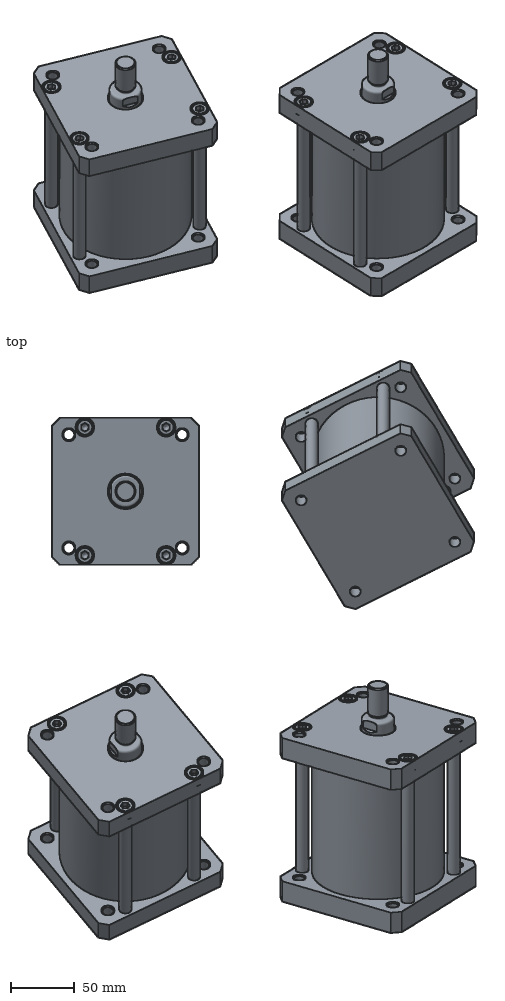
import cadquery as cq
import math

ASSEMBLY_HEIGHT = 180.0
PLATE_SIDE = 116.0
PLATE_THICKNESS = 17.8
CORNER_CHAMFER = 6.3
ROD_PROTRUSION = 37.6
BARREL_DIAMETER = 104.4
UPPER_PLATE_TOP = ASSEMBLY_HEIGHT - ROD_PROTRUSION
UPPER_PLATE_BOTTOM = UPPER_PLATE_TOP - PLATE_THICKNESS

MOUNT_CIRCLE_DIAMETER = 126.2
MOUNT_HOLE_DIAMETER = 8.5
MOUNT_MOUTH_DIAMETER = 10.5
MOUNT_OFFSET = MOUNT_CIRCLE_DIAMETER / 2 * math.cos(math.radians(45))

TIE_ROD_X = 32.0
TIE_ROD_Y = 50.4
TIE_ROD_DIAMETER = 10.0
HEAD_DIAMETER = 13.0
HEAD_HEIGHT = 9.0
HEAD_CHAMFER = 0.7
HEAD_SEAT = UPPER_PLATE_TOP - HEAD_HEIGHT
COUNTERBORE_DIAMETER = 13.5
COUNTERBORE_MOUTH_DIAMETER = 14.8
SOCKET_WIDTH = 6.0
SOCKET_CORNER_DIAMETER = SOCKET_WIDTH / math.cos(math.radians(30))
SOCKET_DEPTH = 4.5
SOCKET_TIP_DEPTH = 1.8

ROD_BORE_DIAMETER = 26.8
ROD_BORE_MOUTH_DIAMETER = 28.0
HUB_DIAMETER = 25.5
HUB_TOP = 152.3
HUB_FILLET = 2.0
HUB_FLAT_WIDTH = 22.3
HUB_FLAT_BOTTOM = 145.0
NECK_DIAMETER = 13.5
NECK_FILLET = 0.7
NECK_TOP = 154.0
THREAD_DIAMETER = 16.0
THREAD_BOTTOM = 155.9
THREAD_TIP_DIAMETER = 14.0
THREAD_TIP_HEIGHT = 1.0

ARC_INSET = 1 - math.cos(math.radians(45))


def four_corners(x, y):
    return [(x_side * x, y_side * y) for x_side in (-1, 1) for y_side in (-1, 1)]


def cylinder(diameter, bottom, top):
    return cq.Workplane("XY").workplane(offset=bottom).circle(diameter / 2).extrude(top - bottom)


def chamfered_hole(diameter, mouth_diameter, bottom, top):
    """Tool for a hole with a 45 degree chamfer at its upper mouth."""
    chamfer = (mouth_diameter - diameter) / 2
    mouth = (
        cq.Workplane("XY")
        .workplane(offset=top)
        .circle(mouth_diameter / 2)
        .extrude(-chamfer, taper=45)
    )
    return cylinder(diameter, bottom, top).union(mouth)


def cut_at(body, tool, points):
    for x, y in points:
        body = body.cut(tool.translate((x, y, 0)))
    return body


def make_plate(bottom):
    """Square plate with chamfered corners and four mounting holes."""
    blank = (
        cq.Workplane("XY")
        .workplane(offset=bottom)
        .rect(PLATE_SIDE, PLATE_SIDE)
        .extrude(PLATE_THICKNESS)
        .edges("|Z")
        .chamfer(CORNER_CHAMFER)
    )
    mount_hole = chamfered_hole(
        MOUNT_HOLE_DIAMETER, MOUNT_MOUTH_DIAMETER, bottom, bottom + PLATE_THICKNESS
    )
    return cut_at(blank, mount_hole, four_corners(MOUNT_OFFSET, MOUNT_OFFSET))


def make_upper_plate():
    """Plate with a bore for the piston rod and counterbored holes for the tie rods."""
    rod_bore = chamfered_hole(
        ROD_BORE_DIAMETER, ROD_BORE_MOUTH_DIAMETER, UPPER_PLATE_BOTTOM, UPPER_PLATE_TOP
    )
    counterbore = chamfered_hole(
        COUNTERBORE_DIAMETER, COUNTERBORE_MOUTH_DIAMETER, HEAD_SEAT, UPPER_PLATE_TOP
    )
    tie_rod_hole = cylinder(TIE_ROD_DIAMETER, UPPER_PLATE_BOTTOM, HEAD_SEAT).union(counterbore)
    plate = make_plate(UPPER_PLATE_BOTTOM).cut(rod_bore)
    return cut_at(plate, tie_rod_hole, four_corners(TIE_ROD_X, TIE_ROD_Y))


def make_barrel():
    return cylinder(BARREL_DIAMETER, PLATE_THICKNESS, UPPER_PLATE_BOTTOM)


def make_hex_socket():
    """Tool for a hexagonal socket with two corners along Y and a conical bottom."""
    hexagon = (
        cq.Workplane("XY")
        .workplane(offset=UPPER_PLATE_TOP)
        .transformed(rotate=(0, 0, 90))
        .polygon(6, SOCKET_CORNER_DIAMETER)
        .extrude(-SOCKET_DEPTH)
    )
    tip_base = cq.Vector(0, 0, UPPER_PLATE_TOP - SOCKET_DEPTH)
    tip = cq.Solid.makeCone(SOCKET_WIDTH / 2, 0, SOCKET_TIP_DEPTH, tip_base, cq.Vector(0, 0, -1))
    return hexagon.union(cq.Workplane(tip))


def make_tie_rod(x, y):
    """Rod standing on the lower plate, with a socket head in the upper plate."""
    shank = cylinder(TIE_ROD_DIAMETER, PLATE_THICKNESS, HEAD_SEAT)
    head = cylinder(HEAD_DIAMETER, HEAD_SEAT, UPPER_PLATE_TOP).faces(">Z").chamfer(HEAD_CHAMFER)
    return shank.union(head).cut(make_hex_socket()).translate((x, y, 0))


def make_turned_rod():
    """Piston rod before its wrench flats are cut, revolved about Z."""
    hub_radius = HUB_DIAMETER / 2
    neck_radius = NECK_DIAMETER / 2
    thread_radius = THREAD_DIAMETER / 2
    hub_inset = HUB_FILLET * ARC_INSET
    neck_inset = NECK_FILLET * ARC_INSET
    return (
        cq.Workplane("XZ")
        .moveTo(0, UPPER_PLATE_BOTTOM)
        .lineTo(hub_radius, UPPER_PLATE_BOTTOM)
        .lineTo(hub_radius, HUB_TOP - HUB_FILLET)
        .threePointArc(
            (hub_radius - hub_inset, HUB_TOP - hub_inset), (hub_radius - HUB_FILLET, HUB_TOP)
        )
        .lineTo(neck_radius + NECK_FILLET, HUB_TOP)
        .threePointArc(
            (neck_radius + neck_inset, HUB_TOP + neck_inset), (neck_radius, HUB_TOP + NECK_FILLET)
        )
        .lineTo(neck_radius, NECK_TOP)
        .lineTo(thread_radius, THREAD_BOTTOM)
        .lineTo(thread_radius, ASSEMBLY_HEIGHT - THREAD_TIP_HEIGHT)
        .lineTo(THREAD_TIP_DIAMETER / 2, ASSEMBLY_HEIGHT)
        .lineTo(0, ASSEMBLY_HEIGHT)
        .close()
        .revolve(360, (0, 0, 0), (0, 1, 0))
    )


def make_flat_cutter(side):
    """Tool for one wrench flat, which runs out at 45 degrees at its lower end."""
    flat_x = HUB_FLAT_WIDTH / 2
    hub_radius = HUB_DIAMETER / 2
    runout = hub_radius - flat_x
    return (
        cq.Workplane("XZ")
        .moveTo(side * flat_x, HUB_TOP)
        .lineTo(side * flat_x, HUB_FLAT_BOTTOM)
        .lineTo(side * hub_radius, HUB_FLAT_BOTTOM - runout)
        .lineTo(side * hub_radius, HUB_TOP)
        .close()
        .extrude(hub_radius, both=True)
    )


def make_piston_rod():
    rod = make_turned_rod()
    for side in (-1, 1):
        rod = rod.cut(make_flat_cutter(side))
    return rod


lower_plate = make_plate(0)
barrel = make_barrel()
upper_plate = make_upper_plate()
piston_rod = make_piston_rod()
tie_rods = [make_tie_rod(x, y).val() for x, y in four_corners(TIE_ROD_X, TIE_ROD_Y)]

result = cq.Compound.makeCompound(
    [lower_plate.val(), barrel.val(), upper_plate.val(), piston_rod.val(), *tie_rods]
)